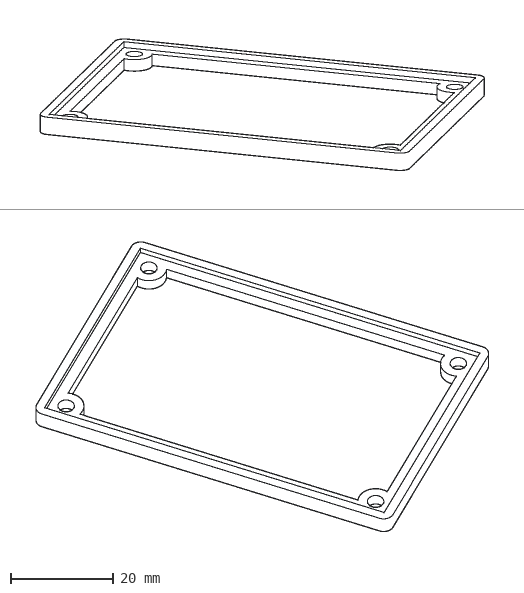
import cadquery as cq

length = 76.0
width = 51.0
height = 3.6
corner_radius = 2.0

rim_thickness = 1.8
recess_depth = 1.2
ledge_height = height - recess_depth

border_width = 4.0

hole_diameter = 3.2
hole_inset = 5.0
boss_radius = 3.5
hole_centers = [
    (side_x * (length / 2 - hole_inset), side_y * (width / 2 - hole_inset))
    for side_x in (-1, 1)
    for side_y in (-1, 1)
]


def centered_block(size_x, size_y, size_z):
    """Block centered in X and Y, standing on Z = 0."""
    return cq.Workplane("XY").box(size_x, size_y, size_z, centered=(True, True, False))


def outer_body():
    """Full-height plate with rounded vertical corners."""
    return centered_block(length, width, height).edges("|Z").fillet(corner_radius)


def rim_recess():
    """Square-cornered pocket inside the rim, down to the ledge."""
    pocket = centered_block(length - 2 * rim_thickness, width - 2 * rim_thickness, recess_depth)
    return pocket.translate((0, 0, ledge_height))


def corner_bosses():
    """Round bosses level with the ledge."""
    return cq.Workplane("XY").pushPoints(hole_centers).circle(boss_radius).extrude(ledge_height)


def central_opening():
    """Through opening that leaves the corner bosses standing."""
    window = centered_block(length - 2 * border_width, width - 2 * border_width, height)
    return window.cut(corner_bosses())


def screw_holes():
    """Through holes at the boss centers."""
    return cq.Workplane("XY").pushPoints(hole_centers).circle(hole_diameter / 2).extrude(height)


result = outer_body().cut(rim_recess()).cut(central_opening()).cut(screw_holes())